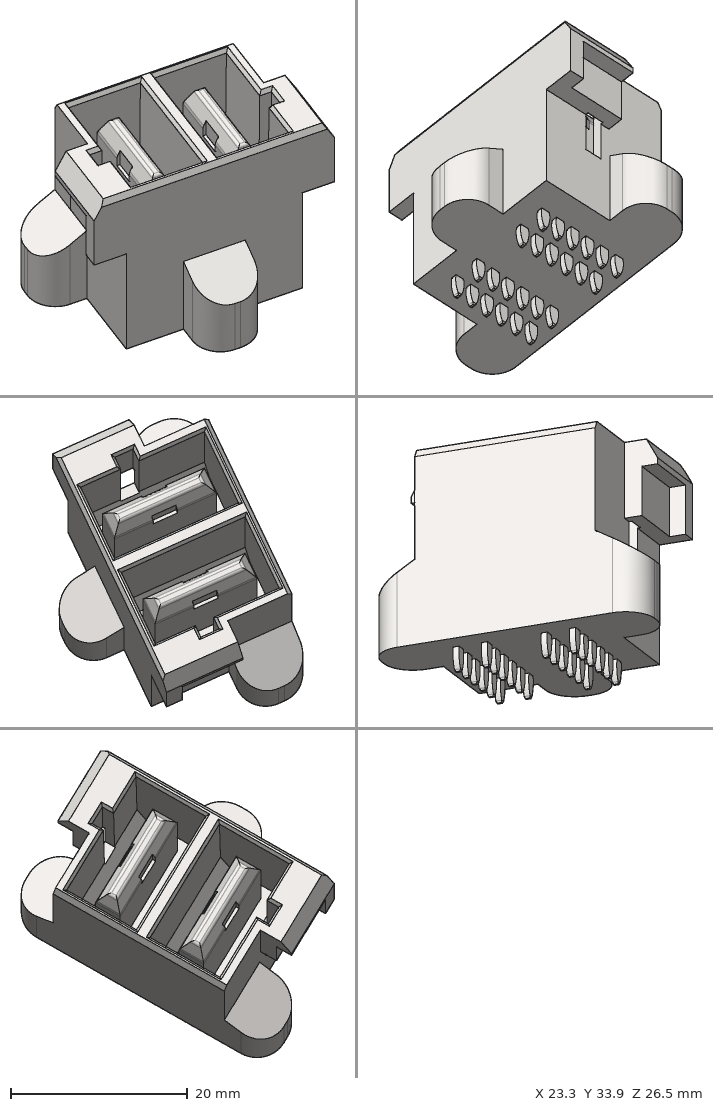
import cadquery as cq
import math


BODY_LENGTH = 17.53
BODY_WIDTH = 22.45
BODY_HEIGHT = 23.6
BACK_CHAMFER_RUN = 0.55
BACK_CHAMFER_DROP = 0.95
FRONT_CHAMFER_RUN = 0.45
FRONT_CHAMFER_DROP = 0.78

OVERALL_LENGTH = 23.25
OVERALL_WIDTH = 33.9
FOOT_WIDTH = 7.85
FOOT_CORNER_RADIUS = 3.55
FOOT_TIP_HEIGHT = 7.0
FOOT_SLOPE = math.radians(30)

FLANGE_START = 8.0
FLANGE_BOTTOM = 14.45
FLANGE_SPAN = 30.65
FLANGE_CHAMFER_RUN = 1.4
FLANGE_CHAMFER_DROP = 2.47
RECESS_DEPTH = 1.95
RECESS_END = 15.55
RECESS_TOP = 20.37

BAY_PITCH = 10.95
BAY_LENGTH = 15.42
BAY_CENTER_X = 8.78
BAY_STRAIGHT_SIDE = 4.55
BAY_DRAFTED_SIDE = 4.6
BAY_DRAFT = 0.15
BAY_FLOOR = 7.0
BAY_FLOOR_HALF = 3.25
FUNNEL_TOP = 9.12
MOUTH_FLARE = 0.322
MOUTH_SLOPE = math.radians(60)
MOUTH_DROP = MOUTH_FLARE * math.tan(MOUTH_SLOPE)

KEYWAY_WIDTH = 2.27
KEYWAY_CENTER_X = 10.37
KEYWAY_SILL = 8.9
KEYWAY_REACH = 11.55

BLADE_LENGTH = 12.7
BLADE_WIDTH = 3.22
BLADE_TOP = 21.45
BLADE_TIP_WIDTH = 1.15
BLADE_SLOPE = math.radians(65)
BLADE_TIP_RADIUS = 0.45
BLADE_SHOULDER_RADIUS = 1.02
BLADE_NOTCH_LENGTH = 3.02
BLADE_NOTCH_DEPTH = 0.4
BLADE_NOTCH_FLOOR = 17.97

PIN_COLUMNS = 6
PIN_COLUMN_PITCH = 2.25
PIN_ROW_SPACING = 3.53
PIN_THICKNESS = 0.75
PIN_ROOT_WIDTH = 1.15
PIN_BULGE_WIDTH = 1.3
PIN_BULGE_DEPTH = 0.8
PIN_END_WIDTH = 0.5
PIN_LENGTH = 2.85
PIN_TIP_LENGTH = 0.25
PIN_TIP_INSET = 0.1


def box(x_range, y_range, z_range):
    """Axis-aligned box between the given limits."""
    (x0, x1), (y0, y1), (z0, z1) = x_range, y_range, z_range
    return cq.Workplane("XY").box(x1 - x0, y1 - y0, z1 - z0, centered=False).translate((x0, y0, z0))


def frustum(length0, width0, z0, length1, width1, z1):
    """Four-sided frustum about the Z axis between two rectangles."""
    return (
        cq.Workplane("XY", origin=(0, 0, z0))
        .rect(length0, width0)
        .workplane(offset=z1 - z0)
        .rect(length1, width1)
        .loft(ruled=True)
    )


def both_sides(solid):
    """The solid together with its mirror image across Y = 0."""
    return solid.union(solid.mirror("XZ"))


def make_foot(reach):
    """Foot growing along +X from X = 0, with rounded outer corners and a sloping top."""
    root_height = FOOT_TIP_HEIGHT + reach * math.tan(FOOT_SLOPE)
    side_profile = [(0, 0), (reach, 0), (reach, FOOT_TIP_HEIGHT), (0, root_height)]
    return (
        cq.Workplane("XZ")
        .polyline(side_profile)
        .close()
        .extrude(FOOT_WIDTH / 2, both=True)
        .edges("|Z and >X")
        .fillet(FOOT_CORNER_RADIUS)
    )


def make_flange():
    """Latch flange on the +Y side, with a recess in its outer face."""
    outer = FLANGE_SPAN / 2
    end_profile = [
        (0, FLANGE_BOTTOM),
        (outer, FLANGE_BOTTOM),
        (outer, BODY_HEIGHT - FLANGE_CHAMFER_DROP),
        (outer - FLANGE_CHAMFER_RUN, BODY_HEIGHT),
        (0, BODY_HEIGHT),
    ]
    flange = (
        cq.Workplane("YZ", origin=(FLANGE_START, 0, 0))
        .polyline(end_profile)
        .close()
        .extrude(BODY_LENGTH - FLANGE_START)
    )
    recess = box((FLANGE_START, RECESS_END), (outer - RECESS_DEPTH, outer), (FLANGE_BOTTOM, RECESS_TOP))
    return flange.cut(recess)


def make_housing():
    """Block, flanges and feet, with the long top edges chamfered."""
    half_width = BODY_WIDTH / 2
    block = box((0, BODY_LENGTH), (-half_width, half_width), (0, BODY_HEIGHT))
    block = block.union(both_sides(make_flange()))

    side_profile = [
        (0, 0),
        (BODY_LENGTH, 0),
        (BODY_LENGTH, BODY_HEIGHT - FRONT_CHAMFER_DROP),
        (BODY_LENGTH - FRONT_CHAMFER_RUN, BODY_HEIGHT),
        (BACK_CHAMFER_RUN, BODY_HEIGHT),
        (0, BODY_HEIGHT - BACK_CHAMFER_DROP),
    ]
    envelope = cq.Workplane("XZ").polyline(side_profile).close().extrude(OVERALL_WIDTH / 2, both=True)
    block = block.intersect(envelope)

    front_foot = make_foot(OVERALL_LENGTH - BODY_LENGTH).translate((BODY_LENGTH, 0, 0))
    side_foot = make_foot(OVERALL_WIDTH / 2 - half_width).rotate((0, 0, 0), (0, 0, 1), 90)
    side_foot = side_foot.translate((FOOT_WIDTH / 2, half_width, 0))
    return block.union(front_foot).union(both_sides(side_foot))


def make_mouth(length, width):
    """Flared lead-in around a rectangular opening in the top face."""
    flare = 2 * MOUTH_FLARE
    return frustum(length, width, BODY_HEIGHT - MOUTH_DROP, length + flare, width + flare, BODY_HEIGHT)


def make_bay():
    """Bay cavity about the Z axis: drafted +Y wall, funnel floor and flared mouth."""
    end_profile = [
        (-BAY_STRAIGHT_SIDE, BODY_HEIGHT),
        (-BAY_STRAIGHT_SIDE, FUNNEL_TOP),
        (-BAY_FLOOR_HALF, BAY_FLOOR),
        (BAY_FLOOR_HALF, BAY_FLOOR),
        (BAY_DRAFTED_SIDE - BAY_DRAFT, FUNNEL_TOP),
        (BAY_DRAFTED_SIDE, BODY_HEIGHT),
    ]
    cavity = cq.Workplane("YZ").polyline(end_profile).close().extrude(BAY_LENGTH / 2, both=True)
    mouth_shift = (BAY_DRAFTED_SIDE - BAY_STRAIGHT_SIDE) / 2
    mouth = make_mouth(BAY_LENGTH, BAY_STRAIGHT_SIDE + BAY_DRAFTED_SIDE)
    return cavity.union(mouth.translate((0, mouth_shift, 0)))


def make_keyway():
    """Keyway cavity on the +Y side, from the edge of the bay floor out past the side wall."""
    bay_center = BAY_PITCH / 2
    start = bay_center + BAY_FLOOR_HALF
    width = KEYWAY_REACH - start
    slot = box((-KEYWAY_WIDTH / 2, KEYWAY_WIDTH / 2), (-width / 2, width / 2), (KEYWAY_SILL, BODY_HEIGHT))
    keyway = slot.union(make_mouth(KEYWAY_WIDTH, width))
    return keyway.translate((KEYWAY_CENTER_X, start + width / 2, 0))


def make_blade():
    """Contact blade about the Z axis, with a wedge top and a shallow notch in each long shoulder."""
    wedge_run = (BLADE_WIDTH - BLADE_TIP_WIDTH) / 2
    shoulder = BLADE_TOP - wedge_run * math.tan(BLADE_SLOPE)
    tip_length = BLADE_LENGTH - 2 * wedge_run
    stem = frustum(BLADE_LENGTH, BLADE_WIDTH, 0, BLADE_LENGTH, BLADE_WIDTH, shoulder)
    wedge = frustum(BLADE_LENGTH, BLADE_WIDTH, shoulder, tip_length, BLADE_TIP_WIDTH, BLADE_TOP)
    blade = stem.union(wedge)
    margin = 0.35
    shoulder_zone = cq.selectors.BoxSelector(
        (-BLADE_LENGTH, -BLADE_WIDTH, shoulder - margin), (BLADE_LENGTH, BLADE_WIDTH, shoulder + margin)
    )
    blade = blade.edges(shoulder_zone).fillet(BLADE_SHOULDER_RADIUS)
    blade = blade.faces(">Z").edges().fillet(BLADE_TIP_RADIUS)

    half_notch = BLADE_NOTCH_LENGTH / 2
    half_width = BLADE_WIDTH / 2
    notch = box(
        (-half_notch, half_notch),
        (half_width - BLADE_NOTCH_DEPTH, half_width),
        (BLADE_NOTCH_FLOOR, BLADE_TOP),
    )
    return blade.cut(both_sides(notch))


def make_pin():
    """Solder pin hanging below Z = 0, with bulged edges and a tapered tip."""
    shank_end = PIN_TIP_LENGTH - PIN_LENGTH
    half_root = PIN_ROOT_WIDTH / 2
    half_bulge = PIN_BULGE_WIDTH / 2
    half_end = PIN_END_WIDTH / 2
    shank = (
        cq.Workplane("XZ")
        .moveTo(-half_root, 0)
        .lineTo(half_root, 0)
        .threePointArc((half_bulge, -PIN_BULGE_DEPTH), (half_end, shank_end))
        .lineTo(-half_end, shank_end)
        .threePointArc((-half_bulge, -PIN_BULGE_DEPTH), (-half_root, 0))
        .close()
        .extrude(PIN_THICKNESS / 2, both=True)
    )
    taper = 2 * PIN_TIP_INSET
    tip = frustum(
        PIN_END_WIDTH - taper, PIN_THICKNESS - taper, -PIN_LENGTH, PIN_END_WIDTH, PIN_THICKNESS, shank_end
    )
    return shank.union(tip)


def make_contact():
    """One blade about the Z axis with its two rows of solder pins."""
    contact = make_blade()
    pin = make_pin()
    first_column_x = -(PIN_COLUMNS - 1) * PIN_COLUMN_PITCH / 2
    for row_y in (-PIN_ROW_SPACING / 2, PIN_ROW_SPACING / 2):
        for column in range(PIN_COLUMNS):
            pin_x = first_column_x + column * PIN_COLUMN_PITCH
            contact = contact.union(pin.translate((pin_x, row_y, 0)))
    return contact


result = make_housing().cut(both_sides(make_keyway()))
bay = make_bay()
contact = make_contact()
for center_y in (-BAY_PITCH / 2, BAY_PITCH / 2):
    bay_center = (BAY_CENTER_X, center_y, 0)
    result = result.cut(bay.translate(bay_center)).union(contact.translate(bay_center))